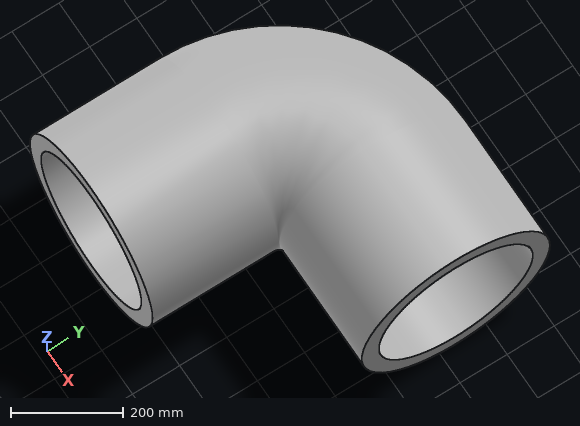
import cadquery as cq

overall_length = 669.0
outer_diameter = 400.0
bore_diameter = 327.0
bend_radius = 201.5
bend_angle = 90

leg_length = overall_length - bend_radius - outer_diameter / 2


def pipe_section(plane, offset):
    """Ring-shaped pipe section, set off sideways from the bend axis (the Z axis)."""
    return (
        cq.Workplane(plane)
        .center(offset, 0)
        .circle(outer_diameter / 2)
        .circle(bore_diameter / 2)
    )


leg_y = pipe_section("XZ", -bend_radius).extrude(leg_length)
leg_x = pipe_section("YZ", bend_radius).extrude(leg_length)

bend = pipe_section("XZ", -bend_radius).revolve(
    bend_angle, (bend_radius, 7, 0), (bend_radius, 0, 0)
)

result = leg_y.union(bend).union(leg_x)